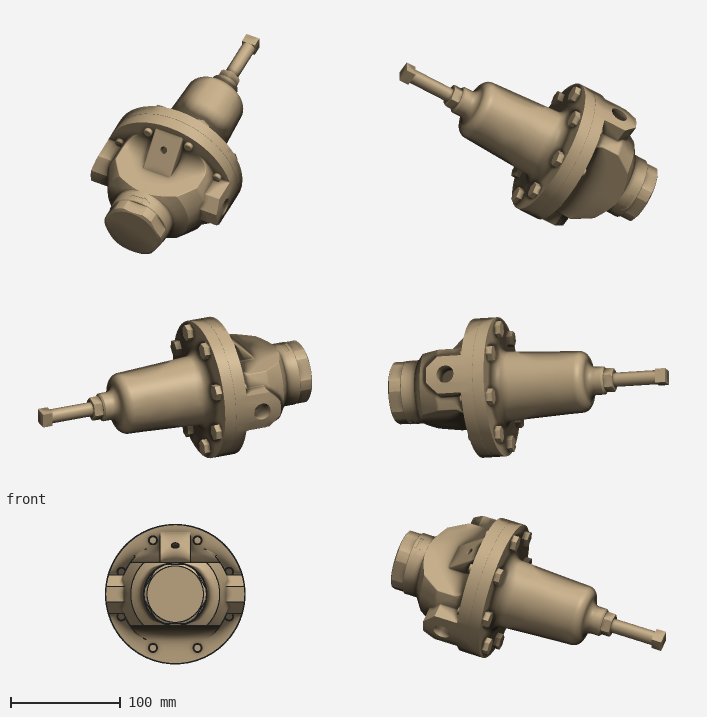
import cadquery as cq
import math


FLANGE_R = 63.5
BONNET_FLANGE_TOP = 10.5
BODY_FLANGE_BOTTOM = -11.4
DIAPHRAGM_R = 63.2
DIAPHRAGM_THICKNESS = 0.6

BOLT_CIRCLE_R = 53.0
BOLT_HEAD_FLATS = 12.9
BOLT_HEAD_HEIGHT = 5.4
BOLT_SHANK_R = 4.0
BOLT_END_LENGTH = 3.8
BOLT_END_CHAMFER = 0.6
BOLT_TURNS = [45, 15, 4, 47, 30, 15, 15, 15]

BONNET_FOOT_FILLET = 8.3
BONNET_FOOT_R = 31.7
BONNET_SHOULDER_R = 28.2
BONNET_SHOULDER_Y = 84.7
BONNET_SHOULDER_FILLET = 8.4
BONNET_NECK_R = 12.9
BONNET_NECK_FILLET = 6.5
BONNET_NECK_TOP = 108.5
BONNET_NECK_CHAMFER = 1.5

NUT_FLATS = 19.0
NUT_TOP = 116.8
NUT_TURN = 13.0
NUT_CHAMFER = 0.8
SCREW_SIZE = 13.0
SCREW_SQUARE_LENGTH = 9.4
SCREW_TOP = 166.24

SHELL_R = 50.0
SHELL_END = -38.7
SHELL_SHOULDER_FILLET = 4.0
CONE_BREAK_R = 40.5
CONE_BREAK_Y = -56.3
BODY_NECK_R = 28.9
BODY_NECK_TOP = -64.7
BODY_NECK_END = -77.8
BODY_HALF_WIDTH = 28.6
BODY_FOOT_FILLET = 12.7
BODY_EDGE_FILLET = 1.0
BODY_NECK_CHAMFER = 0.6

ARROW_Y = -72.9
ARROW_HALF_LENGTH = 9.8
ARROW_HEAD_X = 3.0
ARROW_SHAFT_HALF = 1.6
ARROW_HEAD_HALF = 3.3
ARROW_DEPTH = 0.5

PLUG_R = 28.5
PLUG_FLATS = 53.6
PLUG_END = -90.1
PLUG_CHAMFER_LENGTH = 1.6
PLUG_FACE_R = 25.7

PORT_HALF_WIDTH = 17.4
PORT_END = -44.0
PORT_CORNER = 10.4
PORT_INNER_X = 35.0
PORT_ROOT_FILLET = 1.4
PORT_SEAM_DEPTH = 4.5
PORT_HOLE_Y = -25.9
PORT_HOLE_R = 8.0
PORT_HOLE_DEPTH = 20.0

MARGIN = 0.1

BOSS_HALF_WIDTH = 13.9
BOSS_TOP_Z = 56.2
BOSS_EDGE_FILLET = 1.5
BOSS_ROOT_FILLET = 1.2
BOSS_HOLE_R = 3.4
BOSS_HOLE_Z = 44.4
BOSS_HOLE_DEPTH = 8.0


def disc(radius, bottom, top, x=0.0, z=0.0):
    """Cylinder along Y between two heights."""
    axis = cq.Vector(0, 1, 0)
    return cq.Workplane(cq.Solid.makeCylinder(radius, top - bottom, cq.Vector(x, bottom, z), axis))


def hexagon(flats, bottom, top, turn, x=0.0, z=0.0):
    """Hexagonal prism along Y; turn is the angle of one corner from +X towards +Z."""
    corner_diameter = flats / math.cos(math.pi / 6)
    prism = cq.Workplane("XZ").polygon(6, corner_diameter).extrude(bottom - top)
    return prism.rotate((0, 0, 0), (0, 1, 0), -turn).translate((x, bottom, z))


def arc_middle(center, radius, angle):
    """Point on a circle at an angle in degrees, used as the middle point of an arc."""
    a = math.radians(angle)
    return (center[0] + radius * math.cos(a), center[1] + radius * math.sin(a))


def make_flanges():
    bonnet_flange = disc(FLANGE_R, DIAPHRAGM_THICKNESS / 2, BONNET_FLANGE_TOP)
    body_flange = disc(FLANGE_R, BODY_FLANGE_BOTTOM, -DIAPHRAGM_THICKNESS / 2)
    diaphragm = disc(DIAPHRAGM_R, -DIAPHRAGM_THICKNESS, DIAPHRAGM_THICKNESS)
    return bonnet_flange.union(diaphragm).union(body_flange)


def make_bolts():
    bolts = cq.Workplane()
    step = 360 / len(BOLT_TURNS)
    for i, turn in enumerate(BOLT_TURNS):
        angle = math.radians(step * (i + 0.5))
        x = BOLT_CIRCLE_R * math.cos(angle)
        z = BOLT_CIRCLE_R * math.sin(angle)
        head_top = BONNET_FLANGE_TOP + BOLT_HEAD_HEIGHT
        head = hexagon(BOLT_HEAD_FLATS, BONNET_FLANGE_TOP, head_top, turn, x, z)
        shank = disc(BOLT_SHANK_R, BODY_FLANGE_BOTTOM - BOLT_END_LENGTH, BONNET_FLANGE_TOP, x, z)
        bolts = bolts.add(head.union(shank.faces("<Y").chamfer(BOLT_END_CHAMFER)))
    return bolts.combine()


def make_bonnet():
    foot_y = BONNET_FLANGE_TOP + BONNET_FOOT_FILLET
    foot_center = (BONNET_FOOT_R + BONNET_FOOT_FILLET, foot_y)
    shoulder_center = (BONNET_SHOULDER_R - BONNET_SHOULDER_FILLET, BONNET_SHOULDER_Y)
    shoulder_top = BONNET_SHOULDER_Y + BONNET_SHOULDER_FILLET
    neck_center = (BONNET_NECK_R + BONNET_NECK_FILLET, shoulder_top + BONNET_NECK_FILLET)
    return (
        cq.Workplane("XY")
        .moveTo(0, BONNET_FLANGE_TOP)
        .lineTo(foot_center[0], BONNET_FLANGE_TOP)
        .threePointArc(arc_middle(foot_center, BONNET_FOOT_FILLET, 225), (BONNET_FOOT_R, foot_y))
        .lineTo(BONNET_SHOULDER_R, BONNET_SHOULDER_Y)
        .threePointArc(
            arc_middle(shoulder_center, BONNET_SHOULDER_FILLET, 45), (shoulder_center[0], shoulder_top)
        )
        .lineTo(neck_center[0], shoulder_top)
        .threePointArc(
            arc_middle(neck_center, BONNET_NECK_FILLET, 225), (BONNET_NECK_R, neck_center[1])
        )
        .lineTo(BONNET_NECK_R, BONNET_NECK_TOP - BONNET_NECK_CHAMFER)
        .lineTo(BONNET_NECK_R - BONNET_NECK_CHAMFER, BONNET_NECK_TOP)
        .lineTo(0, BONNET_NECK_TOP)
        .close()
        .revolve(360, (0, 0, 0), (0, 1, 0))
    )


def make_nut_and_screw():
    corner_r = NUT_FLATS / 2 / math.cos(math.pi / 6)
    rounding = disc(corner_r, BONNET_NECK_TOP, NUT_TOP).faces(">Y or <Y").chamfer(NUT_CHAMFER)
    nut = hexagon(NUT_FLATS, BONNET_NECK_TOP, NUT_TOP, NUT_TURN).intersect(rounding)
    square_bottom = SCREW_TOP - SCREW_SQUARE_LENGTH
    rod = disc(SCREW_SIZE / 2, BONNET_NECK_TOP, square_bottom)
    square = cq.Workplane("XY").box(SCREW_SIZE, SCREW_SQUARE_LENGTH, SCREW_SIZE)
    square = square.translate((0, SCREW_TOP - SCREW_SQUARE_LENGTH / 2, 0))
    return nut.union(rod).union(square)


def make_shell():
    turned = (
        cq.Workplane("XY")
        .moveTo(0, BODY_FLANGE_BOTTOM)
        .lineTo(SHELL_R, BODY_FLANGE_BOTTOM)
        .lineTo(SHELL_R, SHELL_END)
        .lineTo(CONE_BREAK_R, CONE_BREAK_Y)
        .lineTo(BODY_NECK_R, BODY_NECK_TOP)
        .lineTo(0, BODY_NECK_TOP)
        .close()
        .revolve(360, (0, 0, 0), (0, 1, 0))
    )
    widest_circles = cq.selectors.RadiusNthSelector(-1)
    shoulder = widest_circles - cq.selectors.StringSyntaxSelector(">Y")
    turned = turned.edges(shoulder).fillet(SHELL_SHOULDER_FILLET)
    flare_y = BODY_FLANGE_BOTTOM - BODY_FOOT_FILLET
    flare_z = BODY_HALF_WIDTH + BODY_FOOT_FILLET
    right_middle = arc_middle((flare_y, flare_z), BODY_FOOT_FILLET, -45)
    left_middle = (right_middle[0], -right_middle[1])
    section = (
        cq.Workplane("YZ")
        .moveTo(BODY_FLANGE_BOTTOM, -flare_z)
        .lineTo(BODY_FLANGE_BOTTOM, flare_z)
        .threePointArc(right_middle, (flare_y, BODY_HALF_WIDTH))
        .lineTo(BODY_NECK_TOP, BODY_HALF_WIDTH)
        .lineTo(BODY_NECK_TOP, -BODY_HALF_WIDTH)
        .lineTo(flare_y, -BODY_HALF_WIDTH)
        .threePointArc(left_middle, (BODY_FLANGE_BOTTOM, -flare_z))
        .close()
        .extrude(SHELL_R, both=True)
    )
    shell = turned.intersect(section)
    return shell.faces(">Z or <Z").edges("not |X").fillet(BODY_EDGE_FILLET)


def make_arrow_cut():
    outline = [
        (-ARROW_HALF_LENGTH, ARROW_Y - ARROW_SHAFT_HALF),
        (ARROW_HEAD_X, ARROW_Y - ARROW_SHAFT_HALF),
        (ARROW_HEAD_X, ARROW_Y - ARROW_HEAD_HALF),
        (ARROW_HALF_LENGTH, ARROW_Y),
        (ARROW_HEAD_X, ARROW_Y + ARROW_HEAD_HALF),
        (ARROW_HEAD_X, ARROW_Y + ARROW_SHAFT_HALF),
        (-ARROW_HALF_LENGTH, ARROW_Y + ARROW_SHAFT_HALF),
    ]
    prism = cq.Workplane("XY").polyline(outline).close().extrude(FLANGE_R, both=True)
    return prism.cut(disc(BODY_NECK_R - ARROW_DEPTH, BODY_NECK_END, BODY_NECK_TOP))


def make_neck_and_plug():
    neck = disc(BODY_NECK_R, BODY_NECK_END, BODY_NECK_TOP)
    neck = neck.faces("<Y").chamfer(BODY_NECK_CHAMFER).cut(make_arrow_cut())
    plug_bar = disc(PLUG_R, PLUG_END, BODY_NECK_END)
    plug_bar = plug_bar.faces("<Y").chamfer(PLUG_CHAMFER_LENGTH, PLUG_R - PLUG_FACE_R)
    return neck.union(plug_bar.intersect(hexagon(PLUG_FLATS, PLUG_END, BODY_NECK_END, 0)))


def make_ports():
    tip_half = PORT_HALF_WIDTH - PORT_CORNER
    outline = [
        (BODY_FLANGE_BOTTOM, -PORT_HALF_WIDTH),
        (PORT_END + PORT_CORNER, -PORT_HALF_WIDTH),
        (PORT_END, -tip_half),
        (PORT_END, tip_half),
        (PORT_END + PORT_CORNER, PORT_HALF_WIDTH),
        (BODY_FLANGE_BOTTOM, PORT_HALF_WIDTH),
    ]
    bar = cq.Workplane("YZ").polyline(outline).close().extrude(FLANGE_R, both=True)
    core = cq.Workplane("XY").box(2 * PORT_INNER_X, 4 * FLANGE_R, 4 * FLANGE_R)
    return bar.intersect(disc(FLANGE_R, PORT_END, BODY_FLANGE_BOTTOM)).cut(core)


def make_port_holes():
    bar = cq.Workplane("YZ").center(PORT_HOLE_Y, 0).circle(PORT_HOLE_R).extrude(FLANGE_R, both=True)
    core_size = 2 * (FLANGE_R - PORT_HOLE_DEPTH)
    core = cq.Workplane("XY").box(core_size, 4 * FLANGE_R, 4 * FLANGE_R)
    return bar.cut(core)


def make_boss():
    slope_end = BODY_FLANGE_BOTTOM - (BOSS_TOP_Z - BODY_HALF_WIDTH)
    wedge = (
        cq.Workplane("YZ")
        .moveTo(BODY_FLANGE_BOTTOM, 0)
        .lineTo(BODY_FLANGE_BOTTOM, BOSS_TOP_Z)
        .lineTo(slope_end, BODY_HALF_WIDTH)
        .lineTo(slope_end, 0)
        .close()
        .extrude(BOSS_HALF_WIDTH, both=True)
    )
    slope_face = cq.selectors.DirectionMinMaxSelector(cq.Vector(0, -1, 1), True)
    return wedge.faces(slope_face).edges("not |X").fillet(BOSS_EDGE_FILLET)


def make_boss_hole():
    hole_y = BODY_FLANGE_BOTTOM - (BOSS_TOP_Z - BOSS_HOLE_Z)
    inward = cq.Vector(0, 1, -1)
    start = cq.Vector(0, hole_y, BOSS_HOLE_Z)
    return cq.Workplane(cq.Solid.makeCylinder(BOSS_HOLE_R, BOSS_HOLE_DEPTH, start, inward))


def box_selector(x_span, y_span, z_span):
    """Selector for edges centred inside a box given by its limits along each axis."""
    low, high = zip(x_span, y_span, z_span)
    return cq.selectors.BoxSelector(low, high)


def fillet_port_roots(body):
    """Round the inside corners around each port, and along the flange beside port and shell."""
    flange_plane = (BODY_FLANGE_BOTTOM - MARGIN, BODY_FLANGE_BOTTOM + MARGIN)
    flange_half_width = BODY_HALF_WIDTH + BODY_FOOT_FILLET
    below_flange = (PORT_END - MARGIN, BODY_FLANGE_BOTTOM - MARGIN)
    port_width = (-PORT_HALF_WIDTH - MARGIN, PORT_HALF_WIDTH + MARGIN)
    for side in (1, -1):
        seam_band = (side * (SHELL_R - PORT_SEAM_DEPTH), side * SHELL_R)
        outboard = (side * PORT_INNER_X, side * FLANGE_R)
        on_shell = box_selector(seam_band, below_flange, port_width)
        on_flange = box_selector(outboard, flange_plane, (-flange_half_width, flange_half_width))
        body = body.edges(on_shell + on_flange).fillet(PORT_ROOT_FILLET)
    return body


def fillet_boss_root(body):
    """Round the inside corner where the boss stands on the shell and on the flange."""
    flare_z = BODY_HALF_WIDTH + BODY_FOOT_FILLET
    foot_middle_z = BODY_HALF_WIDTH + BODY_FOOT_FILLET / 2
    boss_width = (-BOSS_HALF_WIDTH - MARGIN, BOSS_HALF_WIDTH + MARGIN)
    flange_plane = (BODY_FLANGE_BOTTOM - MARGIN, BODY_FLANGE_BOTTOM + MARGIN)
    below_flange = (PORT_END, BODY_FLANGE_BOTTOM - MARGIN)
    on_shell = box_selector(boss_width, below_flange, (0, foot_middle_z))
    on_flange = box_selector(boss_width, flange_plane, (flare_z, BOSS_TOP_Z - BOSS_EDGE_FILLET))
    return body.edges(on_shell + on_flange).fillet(BOSS_ROOT_FILLET)


def make_body():
    body = make_flanges().union(make_shell()).union(make_ports()).union(make_boss())
    return fillet_boss_root(fillet_port_roots(body))


result = make_body()
for feature in (make_bonnet(), make_nut_and_screw(), make_neck_and_plug(), make_bolts()):
    result = result.union(feature)
result = result.cut(make_port_holes()).cut(make_boss_hole())